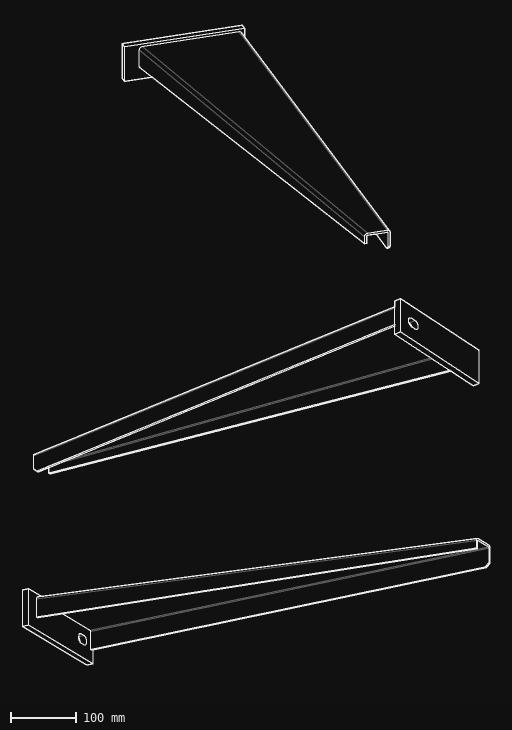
import cadquery as cq

overall_length = 722.0
plate_thickness = 11.5
plate_width = 195.0
plate_height = 60.0
slot_length = 24.0
slot_height = 15.0
slot_edge_distance = 32.0

sheet_thickness = 3.5
bend_radius = 5.0
inner_bend_radius = bend_radius - sheet_thickness
arm_depth = 35.0
arm_top_inset = 4.0
arm_back_inset = 4.0
root_width = 167.0
tip_width = 42.0
front_flange_tip_depth = 17.0
corner_chamfer = 6.5

arm_top = plate_height / 2 - arm_top_inset
arm_bottom = arm_top - arm_depth
arm_back = plate_width / 2 - arm_back_inset
root_front = arm_back - root_width
tip_front = arm_back - tip_width


def make_plate():
    """Rectangular plate with one horizontal slot near its +Y edge."""
    plate = cq.Workplane("YZ").rect(plate_width, plate_height).extrude(plate_thickness)
    slot = (
        cq.Workplane("YZ")
        .center(plate_width / 2 - slot_edge_distance, 0)
        .slot2D(slot_length, slot_height)
        .extrude(plate_thickness)
    )
    return plate.cut(slot)


def make_tapered_block(wall, radius):
    """Tapered block with rounded upper edges, set inward by wall from the arm's outer skin."""
    run = overall_length - plate_thickness
    taper = (tip_front - root_front) / run
    front_shift = wall * (1 + taper**2) ** 0.5
    outline = [
        (plate_thickness, root_front + front_shift),
        (overall_length, tip_front + front_shift),
        (overall_length, arm_back - wall),
        (plate_thickness, arm_back - wall),
    ]
    block = (
        cq.Workplane("XY", origin=(0, 0, arm_bottom))
        .polyline(outline)
        .close()
        .extrude(arm_depth - wall)
    )
    return block.faces(">Z").edges("not |Y").fillet(radius)


def make_front_flange_trim():
    """Wedge below the sloping lower edge of the front flange."""
    back_flange_inner_face = arm_back - sheet_thickness
    return (
        cq.Workplane("XZ", origin=(0, back_flange_inner_face, 0))
        .moveTo(plate_thickness, arm_bottom)
        .lineTo(overall_length, arm_bottom)
        .lineTo(overall_length, arm_top - front_flange_tip_depth)
        .close()
        .extrude(root_width)
    )


def make_arm():
    """Hollow tapered channel, open below and at the tip."""
    outer_block = make_tapered_block(0, bend_radius)
    inner_block = make_tapered_block(sheet_thickness, inner_bend_radius)
    arm = outer_block.cut(inner_block).cut(make_front_flange_trim())
    corner = (
        cq.Workplane("XZ", origin=(0, arm_back, 0))
        .moveTo(overall_length, arm_bottom)
        .lineTo(overall_length, arm_bottom + corner_chamfer)
        .lineTo(overall_length - corner_chamfer, arm_bottom)
        .close()
        .extrude(sheet_thickness)
    )
    return arm.cut(corner)


plate = make_plate()
arm = make_arm()
result = cq.Compound.makeCompound([plate.val(), arm.solids().val()])